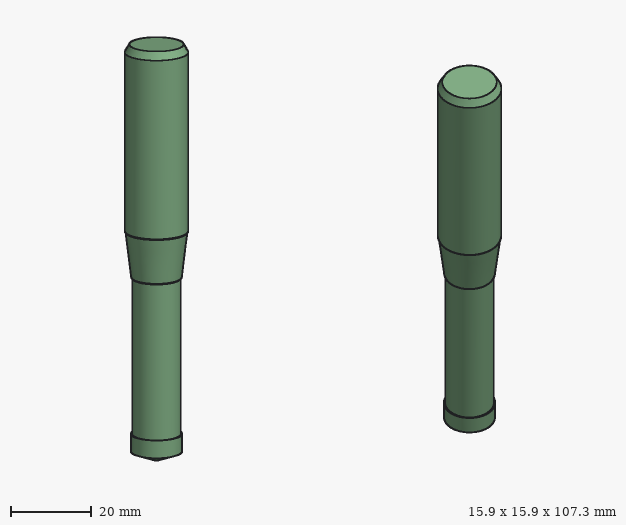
import cadquery as cq

TOTAL_HEIGHT = 107.3
POINT_HEIGHT = 2.5
HEAD_HEIGHT = 4.5
TAPER_BOTTOM = 47.2
TAPER_TOP = 59.1
TOP_CHAMFER_HEIGHT = 2.0

SHANK_RADIUS = 15.9 / 2
NECK_RADIUS = 12.1 / 2
HEAD_RADIUS = 12.8 / 2

TAPER_TOP_RADIUS = 7.7
TAPER_BOTTOM_RADIUS = 6.3
BEVEL_HEIGHT = 0.3

TOP_CHAMFER_WIDTH = 1.2

HEAD_TOP = POINT_HEIGHT + HEAD_HEIGHT


def revolve_about_z(profile):
    """Revolve a closed (radius, height) outline about the Z axis."""
    return cq.Workplane("XZ").polyline(profile).close().revolve(360, (0, 0), (0, 1))


def make_shank():
    """Neck, taper and thick shank with a chamfered top edge."""
    return revolve_about_z([
        (0, HEAD_TOP),
        (NECK_RADIUS, HEAD_TOP),
        (NECK_RADIUS, TAPER_BOTTOM - BEVEL_HEIGHT / 2),
        (TAPER_BOTTOM_RADIUS, TAPER_BOTTOM + BEVEL_HEIGHT / 2),
        (TAPER_TOP_RADIUS, TAPER_TOP - BEVEL_HEIGHT / 2),
        (SHANK_RADIUS, TAPER_TOP + BEVEL_HEIGHT / 2),
        (SHANK_RADIUS, TOTAL_HEIGHT - TOP_CHAMFER_HEIGHT),
        (SHANK_RADIUS - TOP_CHAMFER_WIDTH, TOTAL_HEIGHT),
        (0, TOTAL_HEIGHT),
    ])


def make_head():
    """Short cylindrical cutting head with a conical point, butted to the neck."""
    return revolve_about_z([
        (0, 0),
        (HEAD_RADIUS, POINT_HEIGHT),
        (HEAD_RADIUS, HEAD_TOP),
        (0, HEAD_TOP),
    ])


shank = make_shank()
head = make_head()

result = cq.Compound.makeCompound([shank.val(), head.val()])